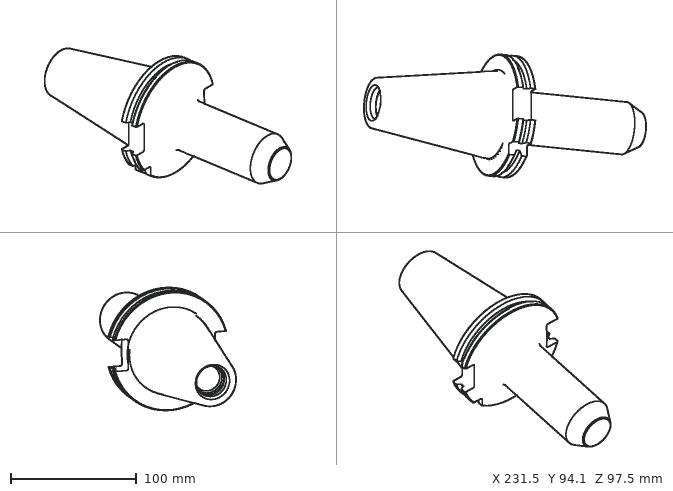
import cadquery as cq
import math

total_length = 231.5

taper_rate = 7 / 24
gauge_radius = 35.0
taper_length = 101.2
small_end_fillet = 1.9

taper_edge_setback = 0.7
land_fillet = 1.5

flange_start = 104.7
flange_width = 16.0
flange_diameter = 97.5
flange_radius = flange_diameter / 2
flange_chamfer = 0.7
groove_center = 112.8
groove_depth = 3.2
groove_floor_width = 2.8
groove_included_angle = 60.0

blend_radius = 15.0

shank_radius = 21.0
nose_start = 218.2
nose_radius = 14.0
nose_chamfer = 0.7

slot_width = 25.7
slot_floor_front = 37.5
slot_floor_back = 35.5
slot_corner_fillet = 1.6

notch_side = 29.6
notch_top = 29.9

mouth_radius = 14.4
mouth_chamfer = 0.7
pilot_radius = 12.5
countersink_half_angle = 30.0
pilot_depth = 7.5
step_radius = 11.8
step_depth = 11.5
core_radius = 10.5
core_depth = 69.5
drill_point_angle = 118.0


def make_body():
    """Revolve the outer profile about X."""
    small_end_radius = gauge_radius - taper_length * taper_rate / 2
    taper_angle = math.atan(taper_rate / 2)
    edge_start = (
        taper_length - taper_edge_setback * math.cos(taper_angle),
        gauge_radius - taper_edge_setback * math.sin(taper_angle),
    )
    edge_end = (taper_length + taper_edge_setback, gauge_radius)
    land_end = (flange_start - land_fillet, gauge_radius)
    land_fillet_end = (flange_start, gauge_radius + land_fillet)
    flange_end = flange_start + flange_width
    rim_radius = flange_radius - flange_chamfer
    floor_radius = flange_radius - groove_depth
    half_floor = groove_floor_width / 2
    half_mouth = half_floor + groove_depth * math.tan(math.radians(groove_included_angle / 2))
    blend_top = shank_radius + blend_radius
    blend_end = flange_end + blend_radius
    diagonal = blend_radius * math.sqrt(0.5)
    return (
        cq.Workplane("XY")
        .moveTo(0, 0)
        .lineTo(0, small_end_radius)
        .lineTo(*edge_start)
        .tangentArcPoint(edge_end, relative=False)
        .lineTo(*land_end)
        .tangentArcPoint(land_fillet_end, relative=False)
        .lineTo(flange_start, rim_radius)
        .lineTo(flange_start + flange_chamfer, flange_radius)
        .lineTo(groove_center - half_mouth, flange_radius)
        .lineTo(groove_center - half_floor, floor_radius)
        .lineTo(groove_center + half_floor, floor_radius)
        .lineTo(groove_center + half_mouth, flange_radius)
        .lineTo(flange_end - flange_chamfer, flange_radius)
        .lineTo(flange_end, rim_radius)
        .lineTo(flange_end, blend_top)
        .threePointArc((blend_end - diagonal, blend_top - diagonal), (blend_end, shank_radius))
        .lineTo(nose_start, shank_radius)
        .lineTo(total_length, nose_radius)
        .lineTo(total_length, 0)
        .close()
        .revolve(360, (0, 0, 0), (1, 0, 0))
        .faces("<X").edges().fillet(small_end_fillet)
        .faces(">X").edges().chamfer(nose_chamfer)
    )


def flange_cutter(y_low, y_high, z_low, z_high):
    """Block spanning the flange width, between two Y and two Z limits."""
    return cq.Workplane("XY").box(
        flange_width, y_high - y_low, z_high - z_low, centered=False
    ).translate((flange_start, y_low, z_low))


def make_drive_slots():
    half = slot_width / 2
    front = flange_cutter(-flange_radius, -slot_floor_front, -half, half)
    back = flange_cutter(slot_floor_back, flange_radius, -half, half)
    front = front.faces(">Y").edges("|X").fillet(slot_corner_fillet)
    back = back.faces("<Y").edges("|X").fillet(slot_corner_fillet)
    return front.union(back)


def make_notch():
    notch = flange_cutter(-flange_radius, -notch_side, -flange_radius, -notch_top)
    return notch.edges(">Y and >Z").fillet(slot_corner_fillet)


def make_bore():
    """Countersink, pilot, step and core drill, ending in a drill point."""
    countersink_radius = mouth_radius - mouth_chamfer
    countersink_run = (countersink_radius - pilot_radius) / math.tan(math.radians(countersink_half_angle))
    core_start = step_depth + step_radius - core_radius
    point_length = core_radius / math.tan(math.radians(drill_point_angle / 2))
    return (
        cq.Workplane("XY")
        .moveTo(0, 0)
        .lineTo(0, mouth_radius)
        .lineTo(mouth_chamfer, countersink_radius)
        .lineTo(mouth_chamfer + countersink_run, pilot_radius)
        .lineTo(pilot_depth, pilot_radius)
        .lineTo(pilot_depth, step_radius)
        .lineTo(step_depth, step_radius)
        .lineTo(core_start, core_radius)
        .lineTo(core_depth, core_radius)
        .lineTo(core_depth + point_length, 0)
        .close()
        .revolve(360, (0, 0, 0), (1, 0, 0))
    )


result = make_body().cut(make_drive_slots()).cut(make_notch()).cut(make_bore())